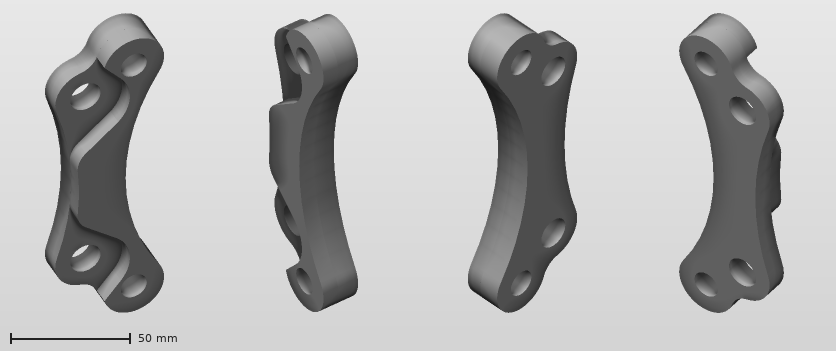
import cadquery as cq
import math

PLATE_THICKNESS = 10.0
SPACER_THICKNESS = 7.5
LENGTH = 150.0

EYE_RADIUS = 14.0
END_HOLE_DIAMETER = 12.0
INNER_HOLE_DIAMETER = 14.0
INNER_HOLE_HEIGHT = 44.7
HOLE_OFFSET = 18.7

NECK_RADIUS = 10.0
BACK_RADIUS = 100.0
WAIST_RADIUS = 125.0
CLEARANCE_RADIUS = 17.0
SHOULDER_RADIUS = 10.0
RELIEF_END_ANGLE = math.radians(47)
FLANK_ANGLE = math.radians(51.5)

END_EYE = (0.0, LENGTH / 2 - EYE_RADIUS)
INNER_EYE = (-HOLE_OFFSET, INNER_HOLE_HEIGHT)


def toward(start, target, distance):
    """Point at a distance from start on the ray to target."""
    reach = math.dist(start, target)
    return tuple(s + (t - s) * distance / reach for s, t in zip(start, target))


def polar(center, radius, angle):
    """Point on a circle, with the angle measured from +Y towards +Z."""
    return (center[0] + radius * math.cos(angle), center[1] + radius * math.sin(angle))


def arc_middle(center, start, end):
    """Middle of the shorter arc about center from start to end."""
    chord_middle = ((start[0] + end[0]) / 2, (start[1] + end[1]) / 2)
    return toward(center, chord_middle, math.dist(center, start))


BACK_CENTER = (END_EYE[0] + math.sqrt((BACK_RADIUS + EYE_RADIUS) ** 2 - END_EYE[1] ** 2), 0.0)
BACK_APEX = (BACK_CENTER[0] - BACK_RADIUS, 0.0)
BACK_TANGENT = toward(END_EYE, BACK_CENTER, EYE_RADIUS)

WAIST_CENTER = (INNER_EYE[0] - math.sqrt((WAIST_RADIUS + EYE_RADIUS) ** 2 - INNER_EYE[1] ** 2), 0.0)
WAIST_APEX = (WAIST_CENTER[0] + WAIST_RADIUS, 0.0)
WAIST_TANGENT = toward(INNER_EYE, WAIST_CENTER, EYE_RADIUS)

END_TOP = (END_EYE[0], END_EYE[1] + EYE_RADIUS)


def close_upper_half(outline):
    """Finish an upper half outline from the top of the end eye down the back edge."""
    back_middle = arc_middle(BACK_CENTER, BACK_TANGENT, BACK_APEX)
    return (
        outline
        .threePointArc(arc_middle(END_EYE, END_TOP, BACK_TANGENT), BACK_TANGENT)
        .threePointArc(back_middle, BACK_APEX)
        .close()
    )


def mirrored_body(half_outline, thickness):
    """Extrude the upper half along +X and join it to its mirror image below Z = 0."""
    upper_half = half_outline.extrude(thickness)
    return upper_half.union(upper_half.mirror("XY")).clean()


def cut_holes(body, center, diameter):
    """Drill a mirrored pair of through holes along X."""
    y, z = center
    depth = PLATE_THICKNESS + SPACER_THICKNESS
    drills = cq.Workplane("YZ").pushPoints([(y, z), (y, -z)]).circle(diameter / 2).extrude(depth)
    return body.cut(drills)


def make_plate():
    """Plate with two eyes at each end and a concave neck between them."""
    eye_spacing = math.dist(END_EYE, INNER_EYE)
    center_line = math.atan2(INNER_EYE[1] - END_EYE[1], INNER_EYE[0] - END_EYE[0])
    neck_distance = EYE_RADIUS + NECK_RADIUS
    neck_angle = math.acos(eye_spacing / 2 / neck_distance)
    neck_center = polar(END_EYE, neck_distance, center_line - neck_angle)
    neck_start = toward(INNER_EYE, neck_center, EYE_RADIUS)
    neck_end = toward(END_EYE, neck_center, EYE_RADIUS)

    outline = (
        cq.Workplane("YZ")
        .moveTo(*WAIST_APEX)
        .threePointArc(arc_middle(WAIST_CENTER, WAIST_APEX, WAIST_TANGENT), WAIST_TANGENT)
        .threePointArc(arc_middle(INNER_EYE, WAIST_TANGENT, neck_start), neck_start)
        .threePointArc(arc_middle(neck_center, neck_start, neck_end), neck_end)
        .threePointArc(arc_middle(END_EYE, neck_end, END_TOP), END_TOP)
    )
    plate = mirrored_body(close_upper_half(outline), PLATE_THICKNESS)
    plate = cut_holes(plate, END_EYE, END_HOLE_DIAMETER)
    return cut_holes(plate, INNER_EYE, INNER_HOLE_DIAMETER)


def make_spacer():
    """Spacer behind the plate, relieved around the inner holes, with a pad at the waist."""
    flank_normal = math.pi - FLANK_ANGLE
    flank_end = polar(INNER_EYE, CLEARANCE_RADIUS, -RELIEF_END_ANGLE)

    flank_inset = polar(flank_end, SHOULDER_RADIUS, flank_normal + math.pi)
    flank_direction = (-math.sin(FLANK_ANGLE), -math.cos(FLANK_ANGLE))
    offset = (flank_inset[0] - WAIST_CENTER[0], flank_inset[1] - WAIST_CENTER[1])
    along = offset[0] * flank_direction[0] + offset[1] * flank_direction[1]
    distance_squared = offset[0] ** 2 + offset[1] ** 2
    shoulder_reach = WAIST_RADIUS + SHOULDER_RADIUS
    travel = -along - math.sqrt(along ** 2 - distance_squared + shoulder_reach ** 2)
    shoulder_center = (
        flank_inset[0] + travel * flank_direction[0],
        flank_inset[1] + travel * flank_direction[1],
    )
    shoulder_start = toward(shoulder_center, WAIST_CENTER, SHOULDER_RADIUS)
    shoulder_end = polar(shoulder_center, SHOULDER_RADIUS, flank_normal)

    eye_flank_start = toward(INNER_EYE, END_EYE, CLEARANCE_RADIUS)
    center_line = math.atan2(INNER_EYE[1] - END_EYE[1], INNER_EYE[0] - END_EYE[0])
    flank_distance = math.dist(END_EYE, eye_flank_start)
    eye_flank_angle = center_line - math.acos(flank_distance / EYE_RADIUS)
    eye_flank_end = polar(END_EYE, EYE_RADIUS, eye_flank_angle)

    outline = (
        cq.Workplane("YZ", origin=(PLATE_THICKNESS, 0, 0))
        .moveTo(*WAIST_APEX)
        .threePointArc(arc_middle(WAIST_CENTER, WAIST_APEX, shoulder_start), shoulder_start)
        .threePointArc(arc_middle(shoulder_center, shoulder_start, shoulder_end), shoulder_end)
        .lineTo(*flank_end)
        .threePointArc(arc_middle(INNER_EYE, flank_end, eye_flank_start), eye_flank_start)
        .lineTo(*eye_flank_end)
        .threePointArc(arc_middle(END_EYE, eye_flank_end, END_TOP), END_TOP)
    )
    spacer = mirrored_body(close_upper_half(outline), SPACER_THICKNESS)
    return cut_holes(spacer, END_EYE, END_HOLE_DIAMETER)


plate = make_plate()
spacer = make_spacer()

result = cq.Compound.makeCompound([plate.solids().val(), spacer.solids().val()])